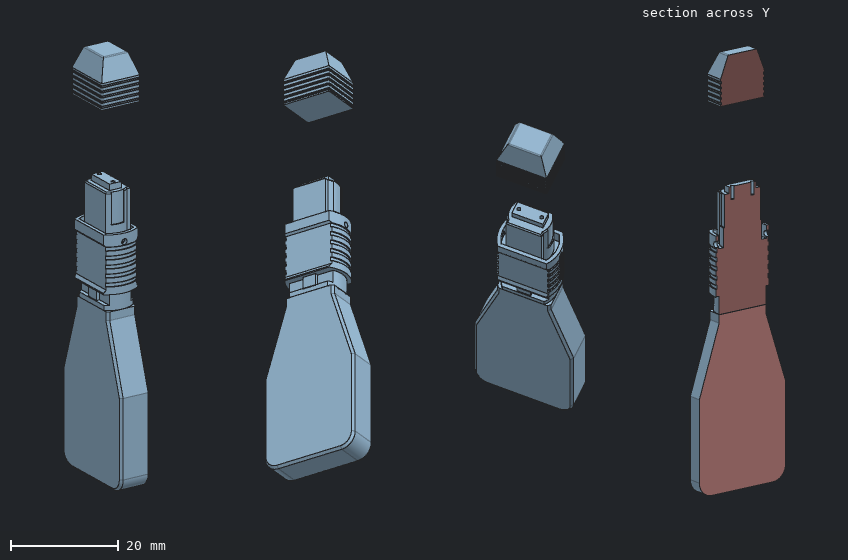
import cadquery as cq
import math

TOTAL_HEIGHT = 84.9
HANDLE_TOP = 34.9
NECK_BASE_TOP = 35.9
SLEEVE_BOTTOM = 38.4
SLEEVE_TOP = 50.3
PLUG_TOP = 58.0
FERRULE_TOP = 59.3

HANDLE_WIDTH = 20.0
HANDLE_THICKNESS = 6.5
HANDLE_TOP_WIDTH = 10.9
TAPER_TOP = 33.2
TAPER_BOTTOM = 19.2
HANDLE_CORNER_RADIUS = 3.0
HANDLE_CHAMFER = 0.5

NECK_HALF_WIDTH = HANDLE_TOP_WIDTH / 2
NECK_BASE_HALF_THICKNESS = HANDLE_THICKNESS / 2
NECK_HALF_THICKNESS = 2.4
NECK_SIDE_RADIUS = 5.0
NECK_BLOCK_WIDTH = 2.8
NECK_BLOCK_HALF_THICKNESS = 3.05

SLEEVE_HALF_WIDTH = 6.2
SLEEVE_HALF_THICKNESS = 3.8
SLEEVE_SIDE_RADIUS = 6.4
FLAT_POCKET_DEPTH = 0.4
FLAT_POCKET_TOP = 48.2
FLAT_POCKET_BOTTOM = 38.65
FLAT_POCKET_TOP_SLOPE = 0.4
FLAT_POCKET_BOTTOM_SLOPE = 0.7
GRIP_GROOVE_COUNT = 5
GRIP_GROOVE_HEIGHT = 0.8
GRIP_GROOVE_PITCH = 1.8
GRIP_GROOVE_DEPTH = 0.25
LOWEST_GRIP_GROOVE = 39.9
SLEEVE_WALL = 0.8
SLEEVE_OPENING_DEPTH = 2.55
SIDE_HOLE_DIAMETER = 1.1
SIDE_HOLE_HEIGHT = 48.6

PLUG_HALF_WIDTH = 4.4
PLUG_HALF_THICKNESS = 2.4
PLUG_SIDE_RADIUS = 3.9
PLUG_OFFSET_Y = -0.13
PLUG_CHAMFER = 0.25
KEY_FACE_Y = 3.05
PLUG_SLOT_WIDTH = 2.8
PLUG_SLOT_DEPTH = 0.25
PLUG_SLOT_BOTTOM = 51.55

FERRULE_WIDTH = 6.3
FERRULE_THICKNESS = 2.6
PIN_HOLE_DIAMETER = 0.7
PIN_HOLE_SPACING = 4.6
PIN_HOLE_DEPTH = 2.55

CAP_OFFSET_Y = -0.1
CAP_WIDTH = 10.2
CAP_THICKNESS = 8.5
CAP_TOP_WIDTH = 6.7
CAP_TOP_THICKNESS = 5.4
CAP_HEIGHT = 9.8
CAP_EDGE_RADIUS = 0.25
CAP_PYRAMID_HEIGHT = 4.4
CAP_GROOVE_COUNT = 5
CAP_GROOVE_HEIGHT = 0.3
CAP_GROOVE_PITCH = 1.0
CAP_GROOVE_DEPTH = 0.2
CAP_LOWEST_GROOVE = 0.4


def box_between(width, thickness, bottom, top):
    """Upright box centred on the Z axis."""
    return cq.Workplane("XY", origin=(0, 0, bottom)).rect(width, thickness).extrude(top - bottom)


def flat_half_width(half_width, half_thickness, side_radius):
    """Half the width of the flat faces of a rounded-side section, clear of its bulging sides."""
    bulge = side_radius - math.sqrt(side_radius**2 - half_thickness**2)
    return half_width - bulge


def rounded_side_block(half_width, half_thickness, side_radius, bottom, top):
    """Upright block with flat Y faces and outward-curved X sides."""
    flat = flat_half_width(half_width, half_thickness, side_radius)
    return (
        cq.Workplane("XY", origin=(0, 0, bottom))
        .moveTo(-flat, -half_thickness)
        .lineTo(flat, -half_thickness)
        .threePointArc((half_width, 0), (flat, half_thickness))
        .lineTo(-flat, half_thickness)
        .threePointArc((-half_width, 0), (-flat, -half_thickness))
        .close()
        .extrude(top - bottom)
    )


def make_handle():
    half_width = HANDLE_WIDTH / 2
    half_top = HANDLE_TOP_WIDTH / 2
    outline = [
        (-half_width, 0),
        (half_width, 0),
        (half_width, TAPER_BOTTOM),
        (half_top, TAPER_TOP),
        (half_top, HANDLE_TOP),
        (-half_top, HANDLE_TOP),
        (-half_top, TAPER_TOP),
        (-half_width, TAPER_BOTTOM),
    ]
    paddle = cq.Workplane("XZ").polyline(outline).close().extrude(HANDLE_THICKNESS / 2, both=True)
    paddle = paddle.faces("<Z").edges("|Y").fillet(HANDLE_CORNER_RADIUS)

    return paddle.faces("<Y or >Y").edges("not >Z").chamfer(HANDLE_CHAMFER)


def make_neck():
    base = rounded_side_block(
        NECK_HALF_WIDTH, NECK_BASE_HALF_THICKNESS, NECK_SIDE_RADIUS, HANDLE_TOP, NECK_BASE_TOP
    )
    stem = rounded_side_block(
        NECK_HALF_WIDTH, NECK_HALF_THICKNESS, NECK_SIDE_RADIUS, NECK_BASE_TOP, SLEEVE_BOTTOM
    )
    blocks = box_between(
        NECK_BLOCK_WIDTH, 2 * NECK_BLOCK_HALF_THICKNESS, NECK_BASE_TOP, SLEEVE_BOTTOM
    )
    return base.union(stem).union(blocks)


def flat_pocket(side):
    """Cutter for the sloped-end pocket across one flat face; side is -1 or 1 along Y."""
    face = side * SLEEVE_HALF_THICKNESS
    floor = side * (SLEEVE_HALF_THICKNESS - FLAT_POCKET_DEPTH)
    return (
        cq.Workplane("YZ")
        .moveTo(face, FLAT_POCKET_BOTTOM)
        .lineTo(floor, FLAT_POCKET_BOTTOM + FLAT_POCKET_BOTTOM_SLOPE)
        .lineTo(floor, FLAT_POCKET_TOP - FLAT_POCKET_TOP_SLOPE)
        .lineTo(face, FLAT_POCKET_TOP)
        .close()
        .extrude(SLEEVE_HALF_WIDTH, both=True)
    )


def grip_groove(bottom):
    """Cutter for one groove around both curved sides."""
    top = bottom + GRIP_GROOVE_HEIGHT
    around = box_between(4 * SLEEVE_HALF_WIDTH, 4 * SLEEVE_HALF_THICKNESS, bottom, top)
    core = rounded_side_block(
        SLEEVE_HALF_WIDTH - GRIP_GROOVE_DEPTH,
        SLEEVE_HALF_THICKNESS,
        SLEEVE_SIDE_RADIUS - GRIP_GROOVE_DEPTH,
        bottom,
        top,
    )
    return around.cut(core)


def make_sleeve():
    sleeve = rounded_side_block(
        SLEEVE_HALF_WIDTH, SLEEVE_HALF_THICKNESS, SLEEVE_SIDE_RADIUS, SLEEVE_BOTTOM, SLEEVE_TOP
    )
    for side in (-1, 1):
        sleeve = sleeve.cut(flat_pocket(side))
    for index in range(GRIP_GROOVE_COUNT):
        sleeve = sleeve.cut(grip_groove(LOWEST_GRIP_GROOVE + index * GRIP_GROOVE_PITCH))

    opening = rounded_side_block(
        SLEEVE_HALF_WIDTH - SLEEVE_WALL,
        SLEEVE_HALF_THICKNESS - SLEEVE_WALL,
        SLEEVE_SIDE_RADIUS - SLEEVE_WALL,
        SLEEVE_TOP - SLEEVE_OPENING_DEPTH,
        SLEEVE_TOP,
    )
    side_holes = (
        cq.Workplane("YZ", origin=(0, 0, SIDE_HOLE_HEIGHT))
        .circle(SIDE_HOLE_DIAMETER / 2)
        .extrude(SLEEVE_HALF_WIDTH, both=True)
    )
    return sleeve.cut(opening).cut(side_holes)


def make_plug():
    bottom = SLEEVE_TOP - SLEEVE_OPENING_DEPTH
    plug = rounded_side_block(
        PLUG_HALF_WIDTH, PLUG_HALF_THICKNESS, PLUG_SIDE_RADIUS, bottom, PLUG_TOP
    ).translate((0, PLUG_OFFSET_Y, 0))
    key_width = 2 * flat_half_width(PLUG_HALF_WIDTH, PLUG_HALF_THICKNESS, PLUG_SIDE_RADIUS)
    key = (
        cq.Workplane("XY", origin=(0, KEY_FACE_Y / 2, bottom))
        .rect(key_width, KEY_FACE_Y)
        .extrude(PLUG_TOP - bottom)
    )
    plug = plug.union(key).faces(">Z").edges().chamfer(PLUG_CHAMFER)

    slot_core = rounded_side_block(
        PLUG_HALF_WIDTH - PLUG_SLOT_DEPTH,
        PLUG_HALF_THICKNESS,
        PLUG_SIDE_RADIUS - PLUG_SLOT_DEPTH,
        PLUG_SLOT_BOTTOM,
        PLUG_TOP,
    )
    slots = box_between(3 * PLUG_HALF_WIDTH, PLUG_SLOT_WIDTH, PLUG_SLOT_BOTTOM, PLUG_TOP).cut(slot_core)
    return plug.cut(slots.translate((0, PLUG_OFFSET_Y, 0)))


def make_ferrule():
    """The ferrule block and the cutter for its two pin holes."""
    ferrule = box_between(FERRULE_WIDTH, FERRULE_THICKNESS, PLUG_TOP, FERRULE_TOP)
    pin_holes = (
        cq.Workplane("XY", origin=(0, 0, FERRULE_TOP - PIN_HOLE_DEPTH))
        .pushPoints([(-PIN_HOLE_SPACING / 2, 0), (PIN_HOLE_SPACING / 2, 0)])
        .circle(PIN_HOLE_DIAMETER / 2)
        .extrude(PIN_HOLE_DEPTH)
    )
    return ferrule, pin_holes


def make_connector():
    ferrule, pin_holes = make_ferrule()
    connector = make_neck().union(make_sleeve()).union(make_plug()).union(ferrule)
    return connector.cut(pin_holes)


def make_cap():
    bottom = TOTAL_HEIGHT - CAP_HEIGHT
    shoulder = TOTAL_HEIGHT - CAP_PYRAMID_HEIGHT
    cap = box_between(CAP_WIDTH, CAP_THICKNESS, bottom, shoulder)
    pyramid = (
        cq.Workplane("XY", origin=(0, 0, shoulder))
        .rect(CAP_WIDTH, CAP_THICKNESS)
        .workplane(offset=CAP_PYRAMID_HEIGHT)
        .rect(CAP_TOP_WIDTH, CAP_TOP_THICKNESS)
        .loft(ruled=True)
    )
    cap = cap.union(pyramid)
    cap = cap.edges("|Z").fillet(CAP_EDGE_RADIUS)
    cap = cap.faces(">Z").edges().fillet(CAP_EDGE_RADIUS)
    for index in range(CAP_GROOVE_COUNT):
        groove_bottom = bottom + CAP_LOWEST_GROOVE + index * CAP_GROOVE_PITCH
        groove_top = groove_bottom + CAP_GROOVE_HEIGHT
        around = box_between(2 * CAP_WIDTH, 2 * CAP_THICKNESS, groove_bottom, groove_top)
        core = box_between(
            CAP_WIDTH - 2 * CAP_GROOVE_DEPTH,
            CAP_THICKNESS - 2 * CAP_GROOVE_DEPTH,
            groove_bottom,
            groove_top,
        )
        cap = cap.cut(around.cut(core))
    return cap.translate((0, CAP_OFFSET_Y, 0))


handle = make_handle()
connector = make_connector()
cap = make_cap()

result = cq.Compound.makeCompound([handle.val(), connector.val(), cap.val()])